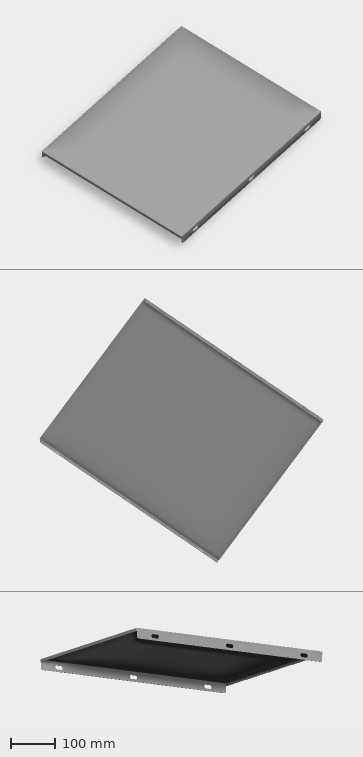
import cadquery as cq

width = 412.0
length = 499.0
height = 25.0

sheet = 1.5
bend_radius = 2.5
lip_height = 8.0
corner_relief = 1.6
flange_corner_radius = 5.0

slot_length = 20.0
slot_height = 9.0
slot_pitch = 199.5
slot_count = 3
slot_rise = 10.0

flange_length = length - 2 * corner_relief
lip_length = width - 2 * corner_relief


def rounded_block(size_x, size_y, depth, top, bend_axis, radius):
    """Block hanging from Z = top, its upper edges along bend_axis rounded."""
    return (
        cq.Workplane("XY", origin=(0, 0, top))
        .rect(size_x, size_y)
        .extrude(-depth)
        .edges(">Z")
        .edges("|" + bend_axis)
        .fillet(radius)
    )


def side_channel():
    """Panel with the two tall side flanges, rounded at their lower corners."""
    outside = rounded_block(width, flange_length, height, 0, "Y", bend_radius)
    inside = rounded_block(width - 2 * sheet, length, height, -sheet, "Y", bend_radius - sheet)
    outside = outside.faces("<Y or >Y").edges("<Z").fillet(flange_corner_radius)
    return outside.cut(inside)


def end_channel():
    """Panel with the two short end lips, kept clear of the side flanges."""
    outside = rounded_block(lip_length, length, lip_height, 0, "X", bend_radius)
    inside = rounded_block(width, length - 2 * sheet, lip_height, -sheet, "X", bend_radius - sheet)
    return outside.cut(inside)


def bend_envelope():
    """Block rounded along all four sides, so neither channel fills the other's bends."""
    across = rounded_block(width, length, height, 0, "Y", bend_radius)
    along = rounded_block(width, length, height, 0, "X", bend_radius)
    return across.intersect(along)


def slot_cutter():
    """Row of slots passing through both side flanges."""
    return (
        cq.Workplane("YZ")
        .center(0, slot_rise - height)
        .rarray(slot_pitch, 5, slot_count, 1)
        .slot2D(slot_length, slot_height)
        .extrude(width, both=True)
    )


result = side_channel().union(end_channel()).intersect(bend_envelope()).cut(slot_cutter())